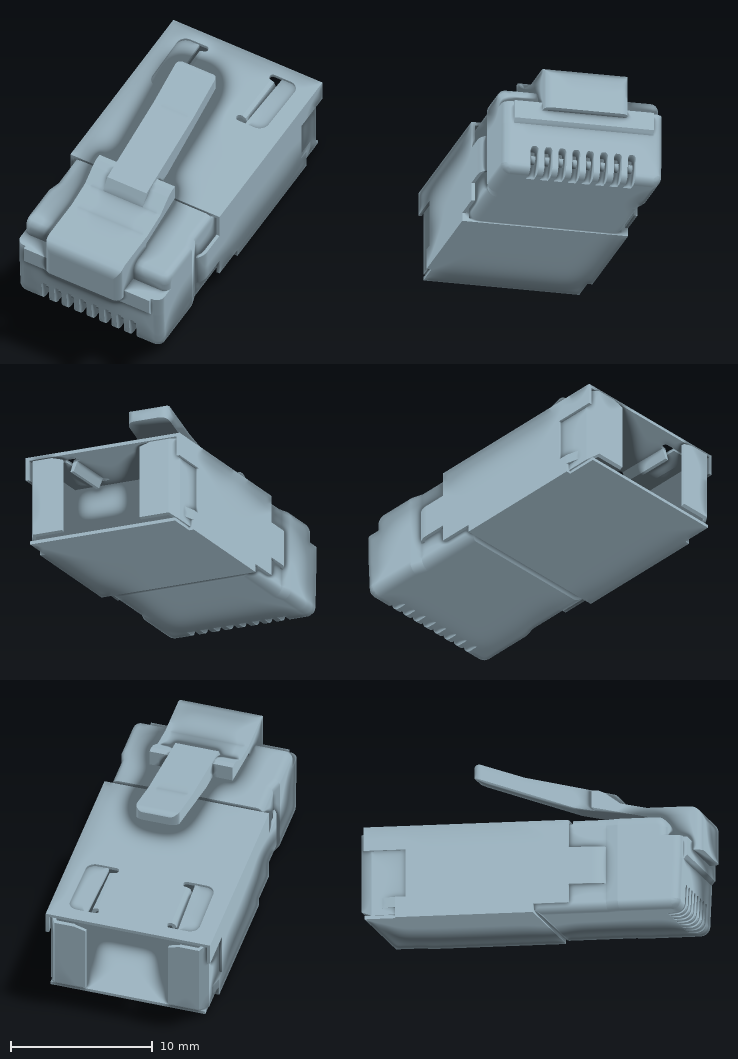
import cadquery as cq
import math


LENGTH = 24.13
SHIELD_WIDTH = 12.11
SHEET = 0.25

SHIELD_FRONT = 9.1
SHIELD_REAR = 23.85
SHIELD_TOP = 6.55
SHIELD_INNER_TOP = SHIELD_TOP - SHEET
FLOOR_FRONT = 11.65
FLOOR_NOTCH_TOP = 0.6
FLOOR_REAR_HALF = 5.7
SHIELD_HALF = SHIELD_WIDTH / 2
LINER_HALF = SHIELD_HALF - SHEET

WINDOW_FRONT = 20.8
WINDOW_BOTTOM = 1.47
WINDOW_TOP = 4.85
WALL_LOWER_REAR = 21.57
TAB_BOTTOM = 0.72
TAB_REAR = 22.51

LINER_BEND = 23.3
FLANGE_OUTER = 5.33
FLANGE_INNER = 3.05
FLANGE_BOTTOM = 0.58
FLANGE_TOP = 6.1
FLANGE_SLOPE_RUN = 0.82
FLANGE_SLOPE_DROP = 0.25

PRONG_BOTTOM = 1.93
PRONG_TOP = 4.55
PRONG_BEND = 7.35
PRONG_TIP = 6.47
PRONG_BEND_RADIUS = 1.23

FLAP_FRONT = 17.75
FLAP_REAR = 22.8
FLAP_OUTER_FRONT = 4.7
FLAP_OUTER_REAR = 4.8
FLAP_INNER_FRONT = 3.15
FLAP_INNER_REAR = 3.35
FLAP_CORNER = 0.72
FLAP_DROP = 0.17
SLOT_INNER_FRONT = 2.68
SLOT_INNER_REAR = 2.75
RELIEF_WIDTH = 0.53
RELIEF_ROUND = 0.25
RELIEF_INNER_FRONT = 2.36
RELIEF_INNER_REAR = 2.5
LIP_SHOULDER_WIDTH = 0.3
LIP_SHOULDER_DROP = 0.12
LIP_REACH = 0.55
LIP_DEPTH = 0.97

HOUSING_HALF = 5.85
NECK_HALF = LINER_HALF - SHEET
HOUSING_TOP = 6.6
HOUSING_REAR = 8.88
NECK_REAR = 16.9
TAPER_FRONT = 5.57
TAPER_REAR = 6.47
LEDGE_HEIGHT = 5.21
LEDGE_REAR = 2.03
FACE_TOP_Y = 1.0
FACE_BOTTOM_Y = 1.15
RAMP_LENGTH = 0.45
CORNER_ROUND = 0.6
LOWER_ROUND = 0.7
UPPER_ROUND = 0.53
BROW_ROUND = 0.77

MARGIN = 0.2

BAR_HALF = 5.1
BAR_FRONT = 0.72
BAR_SLOPE_TOP = 3.9
BAR_BOTTOM = 3.6

CONTACTS = 8
CONTACT_PITCH = 1.01
SLOT_WIDTH = 0.58
SLOT_HEIGHT = 2.0
SLOT_ROOF_ANGLE = 22.0
SLOT_BACK = 1.93
SLOT_FLOOR_TOP = 0.9
SLOT_FLOOR_BACK = 2.41
BLADE_WIDTH = 0.31
BLADE_TOP = 1.75
BLADE_STEP = 1.38
BLADE_UPPER_Y = 1.74
BLADE_NOSE_Y = 1.45
BLADE_BACK = SLOT_BACK + 0.25

LATCH_HALF = 3.06
ARM_HALF = 1.6
LATCH_TOP = 7.77
NOSE_BOTTOM = 4.63
NOSE_ROUND = 0.97
NOSE_SIDE_ROUND = 0.5
ARM_TIP = 16.85
ARM_CROWN_FRONT = (16.26, 11.6)
ARM_CROWN = (16.55, 11.63)
ARM_CROWN_END = 11.44
ARM_TIP_BOTTOM = 10.74
ARM_TIP_ROUND = 0.6
WING_REAR = 8.0
WING_UNDER = 7.96
WING_KNEE = (7.05, 8.95)
WING_CREST = (7.55, 9.17)
HINGE_REAR = 4.03
HINGE_ROOT = 4.1
HINGE_UNDER = 7.15
STEP_FRONT = (5.94, 8.15)
ARM_TOP_KINK = (13.13, 10.57)
ARM_TOP_FRONT = (6.52, 9.07)
ARM_UNDER_KINK = (9.58, 8.28)


def box(x0, x1, y0, y1, z0, z1):
    return cq.Workplane("XY").box(x1 - x0, y1 - y0, z1 - z0, centered=False).translate((x0, y0, z0))


def across(profile, half_width):
    """Extrude a closed YZ outline symmetrically about X = 0."""
    return profile.extrude(half_width, both=True)


def side_outline(points):
    return cq.Workplane("YZ").polyline(points).close()


def upright(points, z0, z1):
    """Extrude a plan outline from z0 to z1."""
    return cq.Workplane("XY", origin=(0, 0, z0)).polyline(points).close().extrude(z1 - z0)


def both_sides(solid):
    return solid.union(solid.mirror("YZ"))


def make_housing():
    body = across(side_outline([
        (FACE_BOTTOM_Y, 0),
        (FACE_TOP_Y, BAR_BOTTOM),
        (FACE_TOP_Y, LEDGE_HEIGHT),
        (LEDGE_REAR, LEDGE_HEIGHT),
        (LEDGE_REAR, HOUSING_TOP),
        (HOUSING_REAR, HOUSING_TOP),
        (HOUSING_REAR, SHIELD_INNER_TOP),
        (NECK_REAR, SHIELD_INNER_TOP),
        (NECK_REAR, 0),
    ]), SHIELD_HALF)
    half_plan = [
        (HOUSING_HALF, 0),
        (HOUSING_HALF, TAPER_FRONT),
        (NECK_HALF, TAPER_REAR),
        (NECK_HALF, NECK_REAR),
    ]
    plan = half_plan + [(-x, y) for x, y in reversed(half_plan)]
    body = body.intersect(upright(plan, 0, HOUSING_TOP))

    brow = cq.selectors.BoxSelector(
        (-MARGIN, LEDGE_REAR - MARGIN, HOUSING_TOP - MARGIN),
        (MARGIN, LEDGE_REAR + MARGIN, HOUSING_TOP + MARGIN))
    body = body.edges(brow).fillet(BROW_ROUND)
    left_edge = cq.selectors.BoxSelector(
        (-HOUSING_HALF - MARGIN, LEDGE_REAR - MARGIN, LEDGE_HEIGHT + MARGIN),
        (-NECK_HALF + MARGIN, HOUSING_REAR - MARGIN, HOUSING_TOP + MARGIN))
    right_edge = cq.selectors.BoxSelector(
        (NECK_HALF - MARGIN, LEDGE_REAR - MARGIN, LEDGE_HEIGHT + MARGIN),
        (HOUSING_HALF + MARGIN, HOUSING_REAR - MARGIN, HOUSING_TOP + MARGIN))
    crease = cq.selectors.BoxSelector(
        (-SHIELD_HALF, TAPER_FRONT - MARGIN, 0), (SHIELD_HALF, TAPER_REAR + MARGIN, HOUSING_TOP - MARGIN))
    body = body.edges(left_edge + right_edge - crease).fillet(UPPER_ROUND)

    underside = cq.selectors.BoxSelector(
        (-SHIELD_HALF, 0, -MARGIN), (SHIELD_HALF, NECK_REAR - MARGIN, MARGIN))
    face_corners = cq.selectors.BoxSelector(
        (-SHIELD_HALF, FACE_TOP_Y - MARGIN, MARGIN),
        (SHIELD_HALF, FACE_BOTTOM_Y + MARGIN, LEDGE_HEIGHT - MARGIN))
    body = body.edges(face_corners).fillet(CORNER_ROUND)
    body = body.edges(underside).fillet(LOWER_ROUND)

    clearance = across(side_outline([
        (FLOOR_FRONT - RAMP_LENGTH, 0),
        (FLOOR_FRONT, SHEET),
        (NECK_REAR, SHEET),
        (NECK_REAR, 0),
    ]), SHIELD_HALF)
    bar = across(side_outline([
        (BAR_FRONT, LEDGE_HEIGHT),
        (BAR_FRONT, BAR_SLOPE_TOP),
        (FACE_TOP_Y, BAR_BOTTOM),
        (LEDGE_REAR, BAR_BOTTOM),
        (LEDGE_REAR, LEDGE_HEIGHT),
    ]), BAR_HALF)
    return body.cut(clearance).union(bar)


def add_contacts(housing):
    slot = across(side_outline([
        (0, 0),
        (0, SLOT_HEIGHT),
        (SLOT_BACK, SLOT_HEIGHT),
        (SLOT_BACK, SLOT_FLOOR_TOP),
        (SLOT_FLOOR_BACK, 0),
    ]), SLOT_WIDTH / 2)
    shoulder = SLOT_HEIGHT - SLOT_WIDTH / 2
    round_top = (
        cq.Workplane("XZ")
        .moveTo(-SLOT_WIDTH / 2, -SLOT_HEIGHT)
        .lineTo(-SLOT_WIDTH / 2, shoulder)
        .threePointArc((0, SLOT_HEIGHT), (SLOT_WIDTH / 2, shoulder))
        .lineTo(SLOT_WIDTH / 2, -SLOT_HEIGHT)
        .close()
        .extrude(-2 * SLOT_FLOOR_BACK)
        .rotate((0, FACE_BOTTOM_Y, SLOT_HEIGHT), (1, FACE_BOTTOM_Y, SLOT_HEIGHT), -SLOT_ROOF_ANGLE)
    )
    slot = slot.intersect(round_top)

    nose_radius = BLADE_STEP - SLOT_FLOOR_TOP
    nose_mid = nose_radius * (1 - math.sqrt(0.5))
    blade = across(
        cq.Workplane("YZ")
        .moveTo(BLADE_BACK, BLADE_TOP)
        .lineTo(BLADE_UPPER_Y, BLADE_TOP)
        .lineTo(BLADE_UPPER_Y, BLADE_STEP)
        .lineTo(BLADE_NOSE_Y, BLADE_STEP)
        .threePointArc(
            (BLADE_NOSE_Y + nose_mid, SLOT_FLOOR_TOP + nose_mid),
            (BLADE_NOSE_Y + nose_radius, SLOT_FLOOR_TOP))
        .lineTo(BLADE_BACK, SLOT_FLOOR_TOP)
        .close(),
        BLADE_WIDTH / 2)

    for index in range(CONTACTS):
        x = (index - (CONTACTS - 1) / 2) * CONTACT_PITCH
        housing = housing.cut(slot.translate((x, 0, 0))).union(blade.translate((x, 0, 0)))
    return housing


def make_latch():
    nose_mid = NOSE_ROUND * (1 - math.sqrt(0.5))
    hinge_mid = (HINGE_UNDER + HOUSING_TOP) / 2
    hinge_radius = (HINGE_UNDER - HOUSING_TOP) / 2
    root = across(
        cq.Workplane("YZ")
        .moveTo(0, NOSE_BOTTOM)
        .lineTo(0, LATCH_TOP - NOSE_ROUND)
        .threePointArc((nose_mid, LATCH_TOP - nose_mid), (NOSE_ROUND, LATCH_TOP))
        .lineTo(HINGE_REAR, LATCH_TOP)
        .lineTo(*STEP_FRONT)
        .lineTo(*WING_KNEE)
        .lineTo(*WING_CREST)
        .lineTo(WING_REAR, WING_CREST[1])
        .lineTo(WING_REAR, WING_UNDER)
        .lineTo(HINGE_ROOT, HINGE_UNDER)
        .threePointArc((HINGE_ROOT - hinge_radius, hinge_mid), (HINGE_ROOT, HOUSING_TOP))
        .lineTo(HINGE_ROOT, HOUSING_TOP - UPPER_ROUND)
        .lineTo(LEDGE_REAR + BROW_ROUND, NOSE_BOTTOM)
        .close(),
        LATCH_HALF)
    plan = (
        box(-LATCH_HALF, LATCH_HALF, 0, WING_REAR, 0, WING_CREST[1])
        .edges("|Z and <Y")
        .fillet(NOSE_SIDE_ROUND)
    )
    root = root.intersect(plan)

    arm = across(
        cq.Workplane("YZ")
        .moveTo(*STEP_FRONT)
        .lineTo(*ARM_TOP_FRONT)
        .lineTo(*ARM_TOP_KINK)
        .lineTo(*ARM_CROWN_FRONT)
        .threePointArc(ARM_CROWN, (ARM_TIP, ARM_CROWN_END))
        .lineTo(ARM_TIP, ARM_TIP_BOTTOM)
        .lineTo(*ARM_UNDER_KINK)
        .lineTo(WING_REAR, WING_UNDER)
        .close(),
        ARM_HALF)
    arm = arm.edges("|Z and >Y").fillet(ARM_TIP_ROUND)
    return root.union(arm)


def make_shield():
    shield = box(-SHIELD_HALF, SHIELD_HALF, SHIELD_FRONT, SHIELD_REAR, 0, SHIELD_TOP)
    shield = shield.cut(box(-LINER_HALF, LINER_HALF, SHIELD_FRONT, SHIELD_REAR, SHEET, SHIELD_INNER_TOP))
    shield = shield.cut(box(-SHIELD_HALF, SHIELD_HALF, SHIELD_FRONT, FLOOR_FRONT, 0, FLOOR_NOTCH_TOP))
    for side in (-1, 1):
        x0, x1 = sorted((side * LINER_HALF, side * SHIELD_HALF))
        shield = shield.cut(box(x0, x1, WINDOW_FRONT, SHIELD_REAR, WINDOW_BOTTOM, WINDOW_TOP))
        shield = shield.cut(box(x0, x1, WALL_LOWER_REAR, SHIELD_REAR, SHEET, WINDOW_BOTTOM))
        floor_x0, floor_x1 = sorted((side * FLOOR_REAR_HALF, side * SHIELD_HALF))
        shield = shield.cut(box(floor_x0, floor_x1, WALL_LOWER_REAR, SHIELD_REAR, 0, SHEET))
    return shield.union(both_sides(make_liner())).union(both_sides(make_prong()))


def make_liner():
    """Strip inside the left wall, bent behind it into the rear flange, with the ramped tab."""
    liner = upright([
        (-LINER_HALF, FLOOR_FRONT),
        (-LINER_HALF, LINER_BEND),
        (-FLANGE_OUTER, LENGTH),
        (-FLANGE_INNER, LENGTH),
        (-FLANGE_INNER, LENGTH - SHEET),
        (-FLANGE_OUTER + SHEET / 2, LENGTH - SHEET),
        (-NECK_HALF, LINER_BEND),
        (-NECK_HALF, FLOOR_FRONT),
    ], SHEET, SHIELD_INNER_TOP)
    liner = liner.intersect(across(side_outline([
        (FLOOR_FRONT, SHEET),
        (LINER_BEND, SHEET),
        (LENGTH, FLANGE_BOTTOM),
        (LENGTH, FLANGE_TOP),
        (LINER_BEND, SHIELD_INNER_TOP),
        (FLOOR_FRONT, SHIELD_INNER_TOP),
    ]), SHIELD_HALF))
    flange_bevel = (
        cq.Workplane("XZ", origin=(0, LINER_BEND, 0))
        .polyline([
            (-FLANGE_INNER - FLANGE_SLOPE_RUN, SHIELD_INNER_TOP),
            (-FLANGE_INNER, SHIELD_INNER_TOP),
            (-FLANGE_INNER, FLANGE_TOP - FLANGE_SLOPE_DROP),
            (-FLANGE_INNER - FLANGE_SLOPE_RUN, FLANGE_TOP),
        ])
        .close()
        .extrude(LINER_BEND - LENGTH)
    )
    tab = upright([
        (-SHIELD_HALF, WALL_LOWER_REAR),
        (-LINER_HALF, TAB_REAR),
        (-LINER_HALF, WALL_LOWER_REAR),
    ], TAB_BOTTOM, WINDOW_BOTTOM)
    return liner.cut(flange_bevel).union(tab)


def make_prong():
    """Left prong, running forwards and curling in towards the housing."""
    turn = math.asin((PRONG_BEND - PRONG_TIP) / PRONG_BEND_RADIUS)
    centre_x = -SHIELD_HALF + PRONG_BEND_RADIUS

    def on_bend(radius, angle):
        return (centre_x - radius * math.cos(angle), PRONG_BEND - radius * math.sin(angle))

    inner_radius = PRONG_BEND_RADIUS - SHEET
    return (
        cq.Workplane("XY", origin=(0, 0, PRONG_BOTTOM))
        .moveTo(-SHIELD_HALF, SHIELD_FRONT)
        .lineTo(-SHIELD_HALF, PRONG_BEND)
        .threePointArc(on_bend(PRONG_BEND_RADIUS, turn / 2), on_bend(PRONG_BEND_RADIUS, turn))
        .lineTo(*on_bend(inner_radius, turn))
        .threePointArc(on_bend(inner_radius, turn / 2), on_bend(inner_radius, 0))
        .lineTo(-LINER_HALF, SHIELD_FRONT)
        .close()
        .extrude(PRONG_TOP - PRONG_BOTTOM)
    )


def make_flap():
    """Return the opening for the left top flap and the lowered flap itself."""
    flap_top = SHIELD_TOP - FLAP_DROP
    flap_bottom = flap_top - SHEET
    flap_plan = [
        (-FLAP_OUTER_FRONT, FLAP_FRONT),
        (-FLAP_INNER_FRONT, FLAP_FRONT),
        (-FLAP_INNER_REAR, FLAP_REAR),
        (-FLAP_OUTER_REAR, FLAP_REAR),
    ]
    outer_corners = cq.selectors.BoxSelector(
        (-FLAP_OUTER_REAR - MARGIN, FLAP_FRONT - MARGIN, 0),
        (-FLAP_OUTER_FRONT + MARGIN, FLAP_REAR + MARGIN, SHIELD_TOP))
    outline = upright(flap_plan, flap_bottom, SHIELD_TOP)
    outline = outline.edges("|Z").edges(outer_corners).fillet(FLAP_CORNER)
    flap = outline.intersect(box(-SHIELD_HALF, 0, 0, LENGTH, flap_bottom, flap_top))

    slot = upright([
        (-FLAP_INNER_FRONT, FLAP_FRONT),
        (-SLOT_INNER_FRONT, FLAP_FRONT),
        (-SLOT_INNER_REAR, FLAP_REAR),
        (-FLAP_INNER_REAR, FLAP_REAR),
    ], flap_bottom, SHIELD_TOP)
    opening = outline.union(slot)
    for y, outer, inner in (
        (FLAP_FRONT, FLAP_INNER_FRONT, RELIEF_INNER_FRONT),
        (FLAP_REAR - RELIEF_WIDTH, FLAP_INNER_REAR, RELIEF_INNER_REAR),
    ):
        relief = box(-outer, -inner, y, y + RELIEF_WIDTH, flap_bottom, SHIELD_TOP)
        opening = opening.union(relief.edges("|Z and >X").fillet(RELIEF_ROUND))

    return opening, flap


def make_lip():
    """Lip turned down from the inner edge of the left slot, leaning out under the flap."""
    lip_bottom = SHIELD_TOP - LIP_DEPTH
    lip_length = FLAP_REAR - FLAP_FRONT - 2 * RELIEF_WIDTH
    skew = math.degrees(math.atan2(SLOT_INNER_REAR - SLOT_INNER_FRONT, FLAP_REAR - FLAP_FRONT))
    return (
        cq.Workplane("XZ")
        .polyline([
            (0, SHIELD_TOP),
            (-LIP_SHOULDER_WIDTH, SHIELD_TOP - LIP_SHOULDER_DROP),
            (-LIP_REACH, lip_bottom),
            (-LIP_REACH + SHEET, lip_bottom),
            (0, SHIELD_INNER_TOP),
        ])
        .close()
        .extrude(-lip_length)
        .translate((0, RELIEF_WIDTH, 0))
        .rotate((0, 0, 0), (0, 0, 1), skew)
        .translate((-SLOT_INNER_FRONT, FLAP_FRONT, 0))
    )


flap_opening, flap = make_flap()
shield = make_shield().cut(both_sides(flap_opening))
shield = shield.union(both_sides(flap)).union(both_sides(make_lip()))
housing = add_contacts(make_housing())
result = shield.union(housing).union(make_latch())